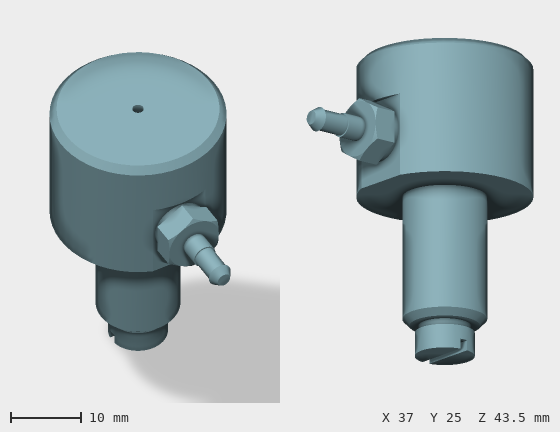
import cadquery as cq
import math

total_height = 43.5
head_diameter = 25.0
head_height = 20.0
stem_diameter = 12.0
edge_chamfer = 1.0
neck_diameter = 7.5
neck_height = 1.0
tip_diameter = 8.5
tip_height = 3.5
slot_width = 1.25
slot_depth = 1.5

top_hole_diameter = 1.6
top_hole_depth = 4.35

flat_x = 11.75
flat_height = 12.0

fitting_drop = 13.05
collar_diameter = 7.95
collar_end_x = 12.53
hex_sides = 6
hex_across_flats = 8.0
hex_length = 3.5
hex_face_diameter = 8.0
hex_bevel_angle = 30.0
shank_diameter = 3.5
shank_length = 3.0
hose_diameter = 3.05
hose_length = 4.25
barb_diameter = 3.52
barb_tip_diameter = 2.0
overall_length_x = 37.0

head_bottom = total_height - head_height
fitting_z = total_height - fitting_drop
hex_end_x = collar_end_x + hex_length
shank_end_x = hex_end_x + shank_length
barb_start_x = shank_end_x + hose_length
fitting_end_x = overall_length_x - head_diameter / 2


def cylinder_z(diameter, bottom, top):
    return cq.Workplane("XY").workplane(offset=bottom).circle(diameter / 2).extrude(top - bottom)


def fitting_plane(x):
    """Plane facing +X, centred on the fitting axis."""
    return cq.Workplane("YZ", origin=(x, 0, fitting_z))


def cylinder_x(diameter, start, end):
    return fitting_plane(start).circle(diameter / 2).extrude(end - start)


def make_body():
    neck_bottom = tip_height
    stem_bottom = neck_bottom + neck_height
    head = cylinder_z(head_diameter, head_bottom, total_height).faces(">Z").chamfer(edge_chamfer)
    stem = cylinder_z(stem_diameter, stem_bottom, head_bottom).faces("<Z").chamfer(edge_chamfer)
    neck = cylinder_z(neck_diameter, neck_bottom, stem_bottom)
    tip = cylinder_z(tip_diameter, 0, tip_height)
    slot = cq.Workplane("XY").box(slot_width, tip_diameter, slot_depth, centered=(True, True, False))
    hole = cylinder_z(top_hole_diameter, total_height - top_hole_depth, total_height)
    flat = (
        cq.Workplane("XY", origin=(flat_x, 0, head_bottom))
        .box(head_diameter, head_diameter, flat_height, centered=(False, True, False))
    )
    return head.cut(flat).cut(hole).union(stem).union(neck).union(tip.cut(slot))


def make_hex():
    """Hexagon with corners up and down, bevelled on its outer face."""
    half_sector = math.radians(180 / hex_sides)
    corner_diameter = hex_across_flats / math.cos(half_sector)
    bevel_depth = (corner_diameter - hex_face_diameter) / 2
    bevel_length = bevel_depth * math.tan(math.radians(hex_bevel_angle))
    hexagon = (
        fitting_plane(collar_end_x)
        .transformed(rotate=(0, 0, 90))
        .polygon(hex_sides, corner_diameter)
        .extrude(hex_length)
    )
    envelope = (
        cylinder_x(corner_diameter, collar_end_x, hex_end_x)
        .faces(">X")
        .chamfer(bevel_length, bevel_depth)
    )
    return hexagon.intersect(envelope)


def make_fitting():
    collar = cylinder_x(collar_diameter, flat_x, collar_end_x)
    shank = cylinder_x(shank_diameter, hex_end_x, shank_end_x)
    hose = cylinder_x(hose_diameter, shank_end_x, barb_start_x)
    barb = (
        fitting_plane(barb_start_x)
        .circle(barb_diameter / 2)
        .workplane(offset=fitting_end_x - barb_start_x)
        .circle(barb_tip_diameter / 2)
        .loft()
    )
    return collar.union(make_hex()).union(shank).union(hose).union(barb)


result = make_body().union(make_fitting())